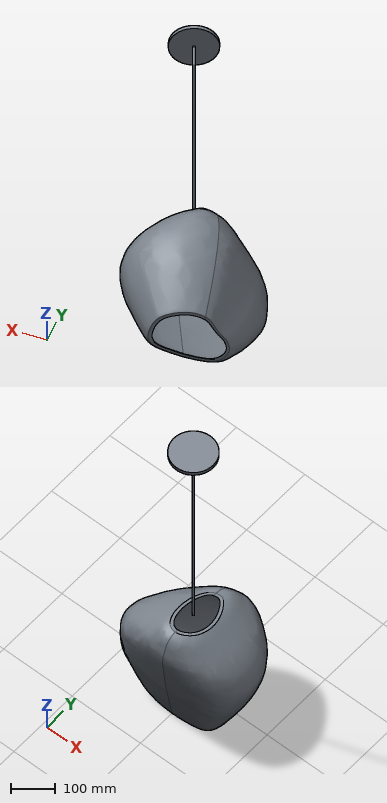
import cadquery as cq
total_height = 928.0
canopy_radius = 58.0
canopy_thickness = 10.0
cord_radius = 3.0
wall = 8.0

shade_levels = [
    (0.0, 90.0, 101.0, 65.0, 71.0),
    (50.0, 140.0, 128.0, 81.0, 101.0),
    (106.0, 173.0, 153.0, 90.0, 129.0),
    (139.0, 180.0, 164.0, 96.0, 141.0),
    (173.0, 180.0, 170.0, 99.0, 150.0),
    (206.0, 171.0, 164.0, 104.0, 154.0),
    (239.5, 140.0, 143.0, 106.0, 150.0),
    (262.0, 112.0, 120.0, 103.0, 140.0),
    (284.0, 79.0, 89.0, 95.0, 123.0),
    (309.0, 38.0, 54.0, 63.0, 79.0),
]
shade_height = shade_levels[-1][0]
cord_bottom = shade_height

south_seam = (0, -1)
north_seam = (0, 0.97)
lower_west_side = [(-0.5, -0.94), (-0.85, -0.75), (-1, -0.3), (-0.78, 0.25), (-0.5, 0.5)]
upper_west_side = [(-0.5, -0.9), (-0.85, -0.6), (-1, -0.1), (-0.82, 0.48), (-0.54, 0.75)]
lower_east_side = [(0.25, 1), (0.7, 0.74), (0.93, 0.4), (1, -0.1), (0.86, -0.76), (0.45, -0.96)]
upper_east_side = [(0.25, 1), (0.7, 0.74), (0.93, 0.4), (1, -0.1), (0.74, -0.66), (0.4, -0.9)]
blend_power = 2
westward = cq.Vector(-1, 0, 0)
north_slope = cq.Vector(1, 0.25, 0).normalized()


def blended_side(lower_side, upper_side, height):
    """Plan points of one half at the given height."""
    blend = (height / shade_height) ** blend_power
    return [
        (lower_x + blend * (upper_x - lower_x), lower_y + blend * (upper_y - lower_y))
        for (lower_x, lower_y), (upper_x, upper_y) in zip(lower_side, upper_side)
    ]


def level_outline(level, inset):
    """Closed outline of one shade level, drawn in from its outer reach by the inset."""
    height, west, east, south, north = level

    def place(fraction):
        across, along = fraction
        x_reach = (west if across < 0 else east) - inset
        y_reach = (south if along < 0 else north) - inset
        return cq.Vector(across * x_reach, along * y_reach, height)

    west_side = blended_side(lower_west_side, upper_west_side, height)
    east_side = blended_side(lower_east_side, upper_east_side, height)
    west_half = [place(point) for point in [south_seam, *west_side, north_seam]]
    east_half = [place(point) for point in [north_seam, *east_side, south_seam]]
    return cq.Wire.assembleEdges([
        cq.Edge.makeSpline(west_half, tangents=[westward, north_slope], scale=False),
        cq.Edge.makeSpline(east_half, tangents=[north_slope, westward], scale=False),
    ])


def shade_volume(inset):
    """Smooth solid through all the level outlines, joined seam to seam."""
    outlines = [level_outline(level, inset) for level in shade_levels]
    return cq.occ_impl.shapes.loft(*outlines, cap=True, compat=False)


def make_shade():
    """Pebble-shaped shell, open at both ends."""
    outside = cq.Workplane(shade_volume(0))
    inside = cq.Workplane(shade_volume(wall))
    return outside.cut(inside).solids()


def make_canopy():
    """Ceiling disc."""
    return (
        cq.Workplane("XY", origin=(0, 0, total_height))
        .circle(canopy_radius)
        .extrude(-canopy_thickness)
    )


def make_cord():
    """Straight cord from the canopy's underside into the shade's upper opening."""
    return (
        cq.Workplane("XY", origin=(0, 0, cord_bottom))
        .circle(cord_radius)
        .extrude(total_height - canopy_thickness - cord_bottom)
    )


shade = make_shade()
canopy = make_canopy()
cord = make_cord()

result = cq.Compound.makeCompound([shade.val(), canopy.val(), cord.val()])